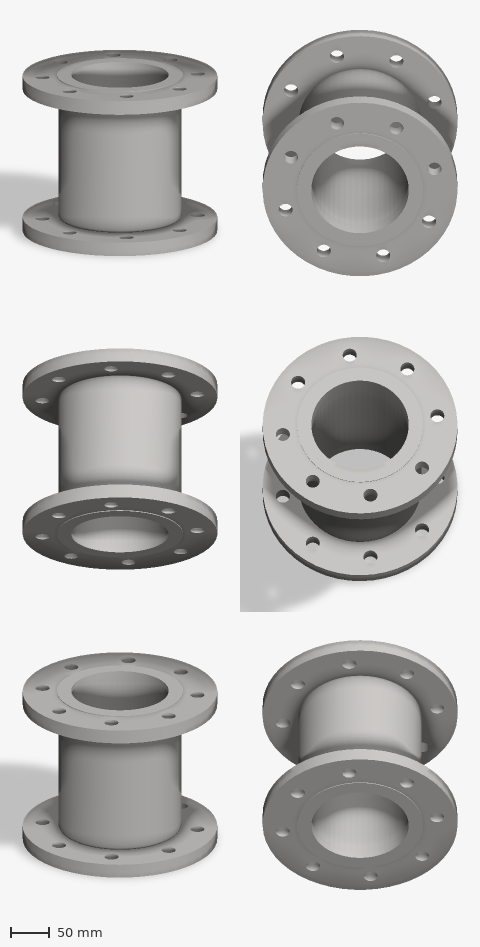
import cadquery as cq

flange_diameter = 250.0
flange_thickness = 18.0
overall_height = 208.0
raised_face_diameter = 162.0
raised_face_height = 1.0
pipe_diameter = 158.0
bore_diameter = 125.0
pipe_end_rounding = 3.0
bolt_circle_diameter = 200.0
bolt_hole_diameter = 18.0
bolt_count = 8

flange_radius = flange_diameter / 2
raised_face_radius = raised_face_diameter / 2
pipe_radius = pipe_diameter / 2
bore_radius = bore_diameter / 2
end_height = overall_height / 2
flange_outer_height = end_height - raised_face_height
flange_inner_height = flange_outer_height - flange_thickness


def make_flange(end):
    """Flange with its raised face; end is 1 at the top of the part and -1 at the bottom."""
    flange = (
        cq.Workplane("XY")
        .workplane(offset=end * flange_inner_height)
        .circle(flange_radius)
        .extrude(end * flange_thickness)
    )
    raised_face = (
        cq.Workplane("XY")
        .workplane(offset=end * flange_outer_height)
        .circle(raised_face_radius)
        .extrude(end * raised_face_height)
    )
    return flange.union(raised_face)


def make_pipe():
    """Solid pipe body between the flanges, with both end edges rounded."""
    pipe = cq.Workplane("XY").circle(pipe_radius).extrude(flange_inner_height, both=True)
    return pipe.faces("<Z or >Z").edges().fillet(pipe_end_rounding)


def make_bore():
    """Straight bore through the whole length."""
    return cq.Workplane("XY").circle(bore_radius).extrude(end_height, both=True)


def make_bolt_holes():
    """Cutters through both flanges, straddling the X and Y axes."""
    first_angle = 360 / bolt_count / 2
    return (
        cq.Workplane("XY")
        .workplane(offset=-end_height)
        .polarArray(bolt_circle_diameter / 2, first_angle, 360, bolt_count)
        .circle(bolt_hole_diameter / 2)
        .extrude(overall_height)
    )


spool = make_pipe()
for end in (1, -1):
    spool = spool.union(make_flange(end))
result = spool.cut(make_bore()).cut(make_bolt_holes())